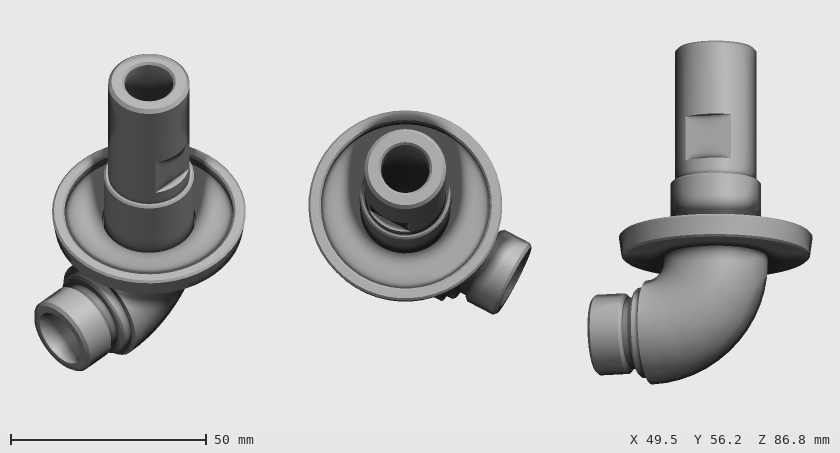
import cadquery as cq


elbow_diameter = 26.6
elbow_radius = elbow_diameter / 2
bend_radius = 17.3
bend_start_z = elbow_radius + bend_radius
outlet_lip = 0.2
outlet_face_y = -(bend_radius + outlet_lip)
collar_radius = 11.5
collar_chamfer = 0.5
inlet_collar_top_z = 51.8
outlet_collar_length = 2.7

flange_diameter = 49.5
flange_radius = flange_diameter / 2
flange_bottom_radius = 24.0
flange_bottom_z = 32.1
flange_top_z = 37.9
flange_edge_chamfer = 0.5
flange_floor = 2.9
flange_recess_radius = 21.6
flange_recess_chamfer = 0.5
flange_hole_radius = 12.0

stem_radius = 10.4
stem_top_z = 86.75
stem_chamfer = 0.9
stem_bore_radius = 6.25
stem_bore_chamfer = 0.6
width_across_flats = 17.1
flat_half_spacing = width_across_flats / 2
flat_bottom_z = 55.9
flat_height = 11.5

nipple_radius = 10.3
nipple_neck_radius = 9.1
nipple_bore_radius = 7.55
nipple_chamfer = 0.8
overall_depth = 56.2
nipple_end_y = flange_radius - overall_depth
nipple_head_length = 8.9

elbow_bore_radius = nipple_bore_radius


def upright_cylinder(radius, bottom_z, top_z):
    """Cylinder on the inlet axis."""
    return cq.Workplane("XY", origin=(0, 0, bottom_z)).circle(radius).extrude(top_z - bottom_z)


def outlet_cylinder(radius, start_y, end_y):
    """Cylinder on the outlet axis, running towards -Y."""
    start_plane = cq.Workplane("XZ", origin=(0, start_y, elbow_radius))
    return start_plane.circle(radius).extrude(start_y - end_y)


def bent_cylinder(radius):
    """Quarter-circle bend joining the inlet and outlet axes."""
    start_plane = cq.Workplane("XY", origin=(0, 0, bend_start_z))
    return start_plane.circle(radius).revolve(90, (0.9, -bend_radius), (-0.9, -bend_radius))


def make_elbow():
    """Bend with an inlet collar and an outlet collar, bored through and socketed at both ends."""
    inlet_collar = upright_cylinder(collar_radius, bend_start_z, inlet_collar_top_z)
    inlet_collar = inlet_collar.faces(">Z").chamfer(collar_chamfer)
    outlet_collar_end_y = outlet_face_y - outlet_collar_length
    outlet_collar = outlet_cylinder(collar_radius, outlet_face_y, outlet_collar_end_y)
    outlet_collar = outlet_collar.faces("<Y").chamfer(collar_chamfer)
    shoulder = upright_cylinder(elbow_radius, bend_start_z, flange_bottom_z)
    lip = outlet_cylinder(elbow_radius, -bend_radius, outlet_face_y)
    body = bent_cylinder(elbow_radius).union(shoulder).union(lip)
    body = body.union(inlet_collar).union(outlet_collar)

    stem_socket = upright_cylinder(stem_radius, bend_start_z, inlet_collar_top_z)
    nipple_socket = outlet_cylinder(nipple_neck_radius, outlet_face_y, outlet_collar_end_y)
    lip_bore = outlet_cylinder(elbow_bore_radius, -bend_radius, outlet_face_y)
    body = body.cut(bent_cylinder(elbow_bore_radius)).cut(lip_bore)
    return body.cut(stem_socket).cut(nipple_socket)


def make_flange():
    """Tapered dish resting on the elbow shoulder, with clearance around the inlet collar."""
    disc = (
        cq.Workplane("XZ")
        .moveTo(0, flange_bottom_z)
        .lineTo(flange_bottom_radius, flange_bottom_z)
        .lineTo(flange_radius, flange_top_z - flange_edge_chamfer)
        .lineTo(flange_radius - flange_edge_chamfer, flange_top_z)
        .lineTo(0, flange_top_z)
        .close()
        .revolve(360, (0, 0), (0, 1))
    )
    disc = disc.faces("<Z").edges().chamfer(flange_edge_chamfer)
    recess = upright_cylinder(flange_recess_radius, flange_bottom_z + flange_floor, flange_top_z)
    hole = upright_cylinder(flange_hole_radius, flange_bottom_z, flange_top_z)
    dish = disc.cut(recess)
    rim_edge = dish.faces(">Z").edges(cq.selectors.RadiusNthSelector(0))
    return rim_edge.chamfer(flange_recess_chamfer).cut(hole)


def make_stem():
    """Inlet tube with a chamfered mouth and two opposite wrench flats."""
    stem = upright_cylinder(stem_radius, bend_start_z, stem_top_z).faces(">Z").chamfer(stem_chamfer)
    stem = stem.cut(upright_cylinder(stem_bore_radius, bend_start_z, stem_top_z))
    bore_edge = stem.faces(">Z").edges(cq.selectors.RadiusNthSelector(0))
    stem = bore_edge.chamfer(stem_bore_chamfer)
    flat_depth = stem_radius - flat_half_spacing
    for side in (-1, 1):
        flat_center_x = side * (flat_half_spacing + flat_depth / 2)
        flat = cq.Workplane("XY", origin=(flat_center_x, 0, flat_bottom_z)).box(
            flat_depth, 2 * stem_radius, flat_height, centered=(True, True, False)
        )
        stem = stem.cut(flat)
    return stem


def make_nipple():
    """Outlet tube with a chamfered head on a narrower neck."""
    head = outlet_cylinder(nipple_radius, nipple_end_y + nipple_head_length, nipple_end_y)
    head = head.faces("<Y or >Y").chamfer(nipple_chamfer)
    neck = outlet_cylinder(nipple_neck_radius, outlet_face_y, nipple_end_y + nipple_head_length)
    bore = outlet_cylinder(nipple_bore_radius, outlet_face_y, nipple_end_y)
    return head.union(neck).cut(bore)


elbow = make_elbow()
flange = make_flange()
stem = make_stem()
nipple = make_nipple()
result = cq.Compound.makeCompound([elbow.val(), flange.val(), stem.val(), nipple.val()])